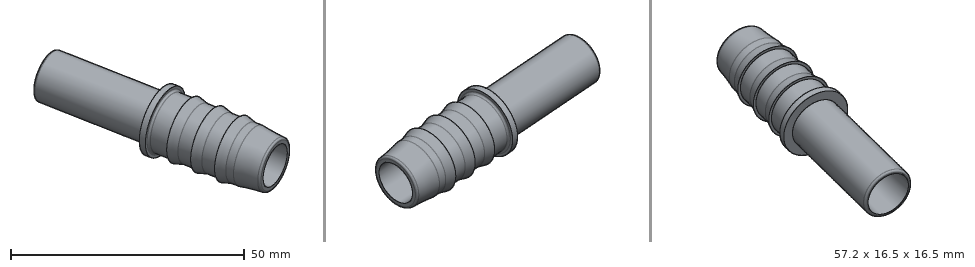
import cadquery as cq

tube_radius = 6.0
collar_radius = 8.25
barrel_radius = 7.05
barb_radius = 7.7
tip_radius = 6.35
bore_mouth_radius = 5.2
bore_exit_radius = 5.0

length = 57.2
collar_start = 28.1
collar_width = 1.55
collar_end = collar_start + collar_width
first_barb = 34.65
barb_pitch = 6.0
barb_length = 2.4
barb_count = 3
taper_start = 51.0

end_round = 0.5
root_round = 0.5
taper_sag = 0.085

tip_start = length - end_round


def round_edge(profile, start, end, center):
    """Add a quarter circle as an arc through its middle point."""
    diagonal = 0.5 ** 0.5
    middle = tuple(c + diagonal * ((s - c) + (e - c)) for s, e, c in zip(start, end, center))
    return profile.threePointArc(middle, end)


def outer_profile():
    """Closed half section of the solid fitting, as (axial, radial) points."""
    tube_shoulder = tube_radius - end_round
    profile = cq.Workplane("XY").lineTo(0, tube_shoulder)
    profile = round_edge(
        profile, (0, tube_shoulder), (end_round, tube_radius), (end_round, tube_shoulder)
    )
    profile = (
        profile.lineTo(collar_start, tube_radius)
        .lineTo(collar_start, collar_radius)
        .lineTo(collar_end, collar_radius)
        .lineTo(collar_end, barrel_radius + root_round)
    )
    root_end = collar_end + root_round
    root_center = (root_end, barrel_radius + root_round)
    profile = round_edge(
        profile, (collar_end, barrel_radius + root_round), (root_end, barrel_radius), root_center
    )
    for index in range(barb_count):
        barb_start = first_barb + index * barb_pitch
        profile = (
            profile.lineTo(barb_start, barrel_radius)
            .lineTo(barb_start, barb_radius)
            .lineTo(barb_start + barb_length, barrel_radius)
        )
    nose_middle = ((taper_start + tip_start) / 2, (barrel_radius + tip_radius) / 2 - taper_sag)
    profile = profile.lineTo(taper_start, barrel_radius)
    profile = profile.threePointArc(nose_middle, (tip_start, tip_radius))
    tip_shoulder = tip_radius - end_round
    profile = round_edge(
        profile, (tip_start, tip_radius), (length, tip_shoulder), (tip_start, tip_shoulder)
    )
    return profile.lineTo(length, 0).close()


body = outer_profile().revolve(360, (0, 0, 0), (1, 0, 0))

bore = (
    cq.Workplane("XY")
    .lineTo(0, bore_mouth_radius)
    .lineTo(length, bore_exit_radius)
    .lineTo(length, 0)
    .close()
    .revolve(360, (0, 0, 0), (1, 0, 0))
)

result = body.cut(bore)